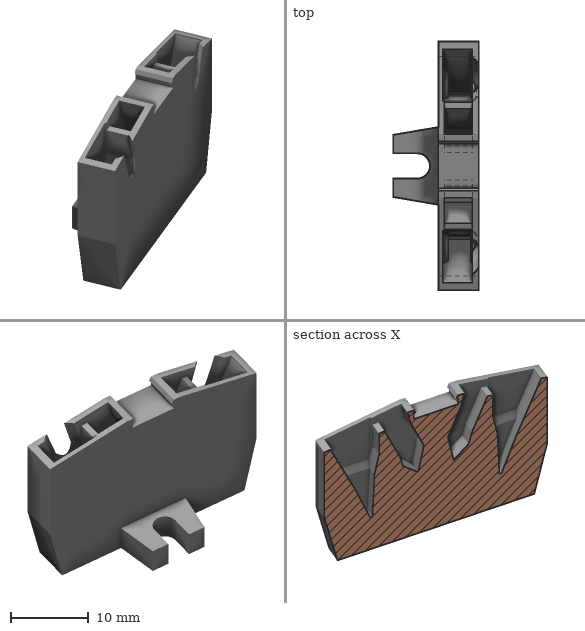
import cadquery as cq
import math

length = 32.0
height = 22.0
body_width = 5.2
half_length = length / 2
shoulder_height = 19.9
taper_height = 8.35
foot_half_length = 14.1
crest_outer = 4.1

recess_half_length = 3.17
recess_floor = 20.48
lip_half_gap = 2.85
lip_height = 21.45

tab_reach = 5.82
tab_height = 3.52
tab_root_half = 5.0
tab_tip_half = 4.0
tab_slot_radius = 1.6
tab_slot_depth = 4.75

funnel_left = 0.58
slot_left = 0.77
cavity_right = 4.35
bore_left = 1.25
bore_right = 4.13
bore_shoulder_top = 14.0
bore_shoulder_bottom = 13.02

funnel_inner = 8.35
funnel_outer = 15.0
bar_inner = 7.35
bar_outer = 8.15
bar_height = 20.13
bar_foot_height = 16.32
bar_root = 8.83
top_slope = (height - shoulder_height) / (half_length - crest_outer)
bar_outer_height = bar_height - (bar_outer - bar_inner) * top_slope

notch_x = 2.8
notch_top_offset = 11.68
notch_top_height = 20.75
notch_tilt = 17.0
notch_top_radius = 2.75
notch_middle_radius = 2.7
notch_bottom_radius = 2.08
notch_middle_depth = 4.32
notch_depth = 7.2

clearance = 1.92


def extrude_along_x(points, x_start, x_end):
    """Extrude a (Y, Z) outline between two X positions."""
    outline = cq.Workplane("YZ", origin=(x_start, 0, 0)).polyline(points).close()
    return outline.extrude(x_end - x_start)


def make_body():
    right_half = [
        (foot_half_length, 0),
        (half_length, taper_height),
        (half_length, shoulder_height),
        (crest_outer, height),
        (recess_half_length, height),
        (lip_half_gap, lip_height),
        (recess_half_length, lip_height),
        (recess_half_length, recess_floor),
    ]
    left_half = [(-y, z) for y, z in reversed(right_half)]
    return extrude_along_x(right_half + left_half, 0, body_width)


def make_tab():
    outline = [
        (0, -tab_root_half),
        (-tab_reach, -tab_tip_half),
        (-tab_reach, tab_tip_half),
        (0, tab_root_half),
        (body_width / 2, tab_root_half),
        (body_width / 2, -tab_root_half),
    ]
    tab = cq.Workplane("XY").polyline(outline).close().extrude(tab_height)
    slot_end_x = tab_slot_depth - tab_reach
    slot_center_x = slot_end_x - tab_slot_radius
    slot = (
        cq.Workplane("XY")
        .moveTo(-tab_reach, -tab_slot_radius)
        .lineTo(slot_center_x, -tab_slot_radius)
        .threePointArc((slot_end_x, 0), (slot_center_x, tab_slot_radius))
        .lineTo(-tab_reach, tab_slot_radius)
        .close()
        .extrude(tab_height)
    )
    return tab.cut(slot)


def make_tool_slot():
    """Inclined slot that leans under the recess, open above the cross bar."""
    top = height + clearance
    outline = [
        (crest_outer, top),
        (crest_outer, height),
        (3.6, 19.85),
        (1.75, 15.2),
        (2.55, 10.88),
        (4.67, 12.8),
        (5.15, 14.72),
        (bar_inner, bar_height),
        (bar_outer, bar_outer_height),
        (bar_outer, top),
    ]
    return extrude_along_x(outline, slot_left, cavity_right)


def make_wire_funnel():
    """Wire entry with a sloping outer wall, narrowing to a bore."""
    top = height + clearance
    outline = [
        (bar_outer, top),
        (bar_outer, bar_foot_height),
        (bar_root, bore_shoulder_bottom),
        (9.12, 5.65),
        (9.4, 5.75),
        (11.52, 11.52),
        (funnel_outer, shoulder_height),
        (funnel_outer, top),
    ]
    width_profile = [
        (funnel_left, top),
        (funnel_left, bore_shoulder_top),
        (bore_left, bore_shoulder_bottom),
        (bore_left, 0),
        (bore_right, 0),
        (bore_right, bore_shoulder_bottom),
        (cavity_right, bore_shoulder_top),
        (cavity_right, top),
    ]
    width_limit = cq.Workplane("XZ").polyline(width_profile).close().extrude(-half_length)
    step = cq.Workplane("XY").box(
        slot_left, funnel_inner - bar_outer, top, centered=False
    ).translate((0, bar_outer, 0))
    return extrude_along_x(outline, 0, body_width).intersect(width_limit).cut(step)


def make_side_notch():
    """Tilted round cut, narrowing in two stages, opening the +X wall, limited to that wall."""
    taper = (notch_top_radius - notch_middle_radius) / notch_middle_depth
    upper_radius = notch_top_radius + clearance * taper
    tilt = math.radians(notch_tilt)
    plane = cq.Plane(
        origin=(notch_x, notch_top_offset, notch_top_height),
        xDir=(1, 0, 0),
        normal=(0, -math.cos(tilt), math.sin(tilt)),
    )
    half_section = [
        (0, clearance),
        (upper_radius, clearance),
        (notch_middle_radius, -notch_middle_depth),
        (notch_bottom_radius, -notch_depth),
        (0, -notch_depth),
    ]
    cone = cq.Workplane(plane).polyline(half_section).close().revolve(360, (0, 0), (0, 1))
    wall_side = cq.Workplane("XY").box(
        body_width, half_length, height + 2 * clearance, centered=False
    ).translate((cavity_right, 0, 0))
    return cone.intersect(wall_side)


cavity = make_tool_slot().union(make_wire_funnel()).union(make_side_notch())
result = make_body().union(make_tab()).cut(cavity).cut(cavity.mirror("XZ"))